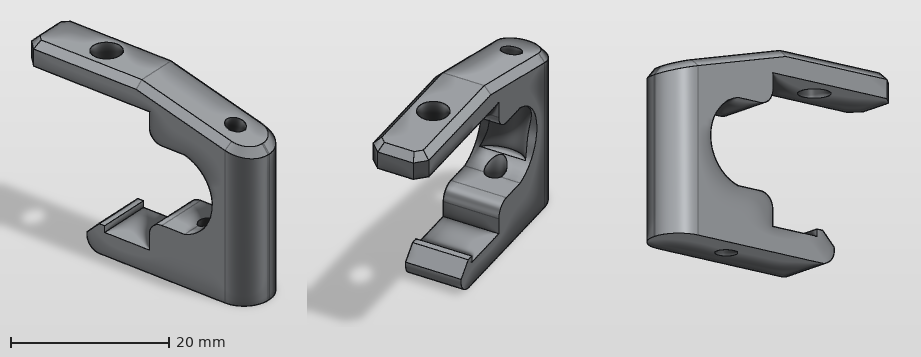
import cadquery as cq
import math

length = 36.0
width = 8.0
height = 27.1
back_radius = 3.9

arm_underside = 23.58
slope_start = 18.0
slope_angle = 15.0
arm_corner_chamfer = 1.45
top_chamfer = 1.0

hook_tip = 10.0
tip_radius = 2.1
tip_ramp_start = 2.5
hook_top = 4.35
hook_back = 12.8
shelf_height = 3.4
hook_ramp_end = hook_tip + hook_top - tip_ramp_start
tip_arc_run = math.sqrt(tip_radius**2 - (tip_ramp_start - tip_radius) ** 2)

mouth_x = 19.98
mouth_half_height = 5.8
mouth_fillet = 2.0
seat_radius = 6.0
seat_x = 24.05
seat_z = 13.5

arm_hole_diameter = 4.2
arm_hole_x = hook_tip
pin_diameter = 2.8
pin_top_x = 30.67
pocket_diameter = 7.2
pocket_top_depth = 2.15
pocket_bottom_depth = 14.55

slope_rate = math.tan(math.radians(slope_angle))
back_height = height - (length - slope_start) * slope_rate
mouth_bottom = seat_z - mouth_half_height
mouth_top = seat_z + mouth_half_height
seat_start = seat_x + math.sqrt(seat_radius**2 - mouth_half_height**2)


def side_body():
    """Clip profile in the XZ plane, extruded symmetrically about Y = 0."""
    profile = (
        cq.Workplane("XZ")
        .moveTo(0, height)
        .lineTo(slope_start, height)
        .lineTo(length, back_height)
        .lineTo(length, 0)
        .lineTo(hook_tip + tip_arc_run, 0)
        .radiusArc((hook_tip, tip_ramp_start), tip_radius)
        .lineTo(hook_ramp_end, hook_top)
        .lineTo(hook_back, hook_top)
        .lineTo(hook_back, shelf_height)
        .lineTo(mouth_x, shelf_height)
        .lineTo(mouth_x, mouth_bottom - mouth_fillet)
        .radiusArc((mouth_x + mouth_fillet, mouth_bottom), mouth_fillet)
        .lineTo(seat_start, mouth_bottom)
        .threePointArc((seat_x + seat_radius, seat_z), (seat_start, mouth_top))
        .lineTo(mouth_x + mouth_fillet, mouth_top)
        .radiusArc((mouth_x, mouth_top + mouth_fillet), mouth_fillet)
        .lineTo(mouth_x, arm_underside)
        .lineTo(0, arm_underside)
        .close()
    )
    return profile.extrude(width / 2, both=True)


def plan_outline():
    """Tall prism with two clipped front corners and two rounded back corners."""
    half_width = width / 2
    return (
        cq.Workplane("XY")
        .moveTo(0, -half_width + arm_corner_chamfer)
        .lineTo(arm_corner_chamfer, -half_width)
        .lineTo(length - back_radius, -half_width)
        .radiusArc((length, -half_width + back_radius), -back_radius)
        .lineTo(length, half_width - back_radius)
        .radiusArc((length - back_radius, half_width), -back_radius)
        .lineTo(arm_corner_chamfer, half_width)
        .lineTo(0, half_width - arm_corner_chamfer)
        .close()
        .extrude(height)
    )


def chamfer_top(body):
    """Bevel the outer rim of the flat and sloping top faces, not their shared crease."""
    crease = cq.selectors.BoxSelector(
        (slope_start - 0.35, -0.35, height - 0.35), (slope_start + 0.35, 0.35, height + 0.35)
    )
    sloping = cq.selectors.DirectionMinMaxSelector(
        cq.Vector(math.sin(math.radians(slope_angle)), 0, math.cos(math.radians(slope_angle))), True
    )
    rim = body.faces(">Z").edges().add(body.faces(sloping).edges())
    return rim.edges(cq.selectors.InverseSelector(crease)).chamfer(top_chamfer)


def arm_hole():
    """Vertical hole through the upper arm only."""
    return (
        cq.Workplane("XY", origin=(arm_hole_x, 0, arm_underside))
        .circle(arm_hole_diameter / 2)
        .extrude(height - arm_underside)
    )


def pin_bore():
    """Through bore square to the sloping top, widened to a pocket across the seat."""
    top_z = height - (pin_top_x - slope_start) * slope_rate
    angle = math.radians(slope_angle)
    axis_plane = cq.Plane(
        origin=(pin_top_x, 0, top_z),
        xDir=(0, 1, 0),
        normal=(-math.sin(angle), 0, -math.cos(angle)),
    )
    pin = cq.Workplane(axis_plane).circle(pin_diameter / 2).extrude(height)
    pocket = (
        cq.Workplane(axis_plane)
        .workplane(offset=pocket_top_depth)
        .circle(pocket_diameter / 2)
        .extrude(pocket_bottom_depth - pocket_top_depth)
    )
    return pin.union(pocket)


body = chamfer_top(side_body().intersect(plan_outline()))
result = body.cut(arm_hole()).cut(pin_bore())